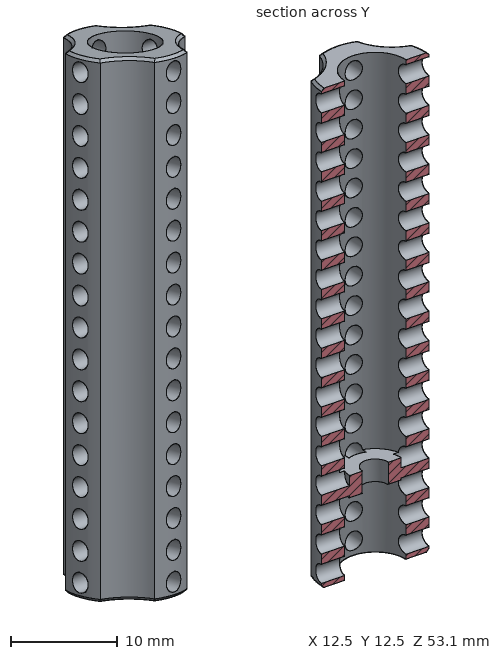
import cadquery as cq
import math

outer_diameter = 12.5
outer_radius = outer_diameter / 2
hole_pitch = 3.125
hole_count = 17
length = hole_count * hole_pitch
edge_chamfer = 0.3

lobe_count = 4
lobe_step = 360 / lobe_count
lobe_width = 4.46
flute_floor_radius = 5.0

bore_diameter = 7.1
partition_top = 11.0
partition_thickness = 2.4
partition_bottom = partition_top - partition_thickness
partition_hole_diameter = 3.0

side_hole_diameter = 2.0
side_hole_inner_diameter = 6.0


def rotated(point, angle):
    """Turn a point about the tube axis by an angle in degrees."""
    cosine = math.cos(math.radians(angle))
    sine = math.sin(math.radians(angle))
    return (point[0] * cosine - point[1] * sine, point[0] * sine + point[1] * cosine)


def make_body():
    """Extrude the lobed outline and chamfer both end outlines."""
    corner_angle = math.degrees(math.asin(lobe_width / 2 / outer_radius))
    lobe_middle = (outer_radius, 0)
    flute_middle = (flute_floor_radius, 0)

    outline = cq.Workplane("XY").moveTo(*rotated(lobe_middle, -corner_angle))
    for i in range(lobe_count):
        lobe_angle = i * lobe_step
        outline = outline.threePointArc(
            rotated(lobe_middle, lobe_angle),
            rotated(lobe_middle, lobe_angle + corner_angle),
        )
        outline = outline.threePointArc(
            rotated(flute_middle, lobe_angle + lobe_step / 2),
            rotated(lobe_middle, lobe_angle + lobe_step - corner_angle),
        )
    body = outline.close().extrude(length)
    return body.faces("<Z or >Z").edges().chamfer(edge_chamfer)


def axial_cylinder(diameter, bottom, top):
    """Cylinder on the tube axis between two heights."""
    return cq.Workplane("XY").workplane(offset=bottom).circle(diameter / 2).extrude(top - bottom)


def cut_bores(body):
    """Bore the tube from both ends, leaving a pierced partition."""
    body = body.cut(axial_cylinder(bore_diameter, partition_top, length))
    body = body.cut(axial_cylinder(bore_diameter, 0, partition_bottom))
    return body.cut(axial_cylinder(partition_hole_diameter, partition_bottom, partition_top))


def cut_side_holes(body):
    """Drill a column of radial holes through the wall of every lobe."""
    heights = [(i + 0.5) * hole_pitch for i in range(hole_count)]
    column = (
        cq.Workplane("YZ")
        .pushPoints([(0, height) for height in heights])
        .circle(side_hole_diameter / 2)
        .extrude(outer_radius)
        .cut(axial_cylinder(side_hole_inner_diameter, 0, length))
    )
    for i in range(lobe_count):
        body = body.cut(column.rotate((0, 0, 0), (0, 0, 1), i * lobe_step))
    return body


result = cut_side_holes(cut_bores(make_body()))